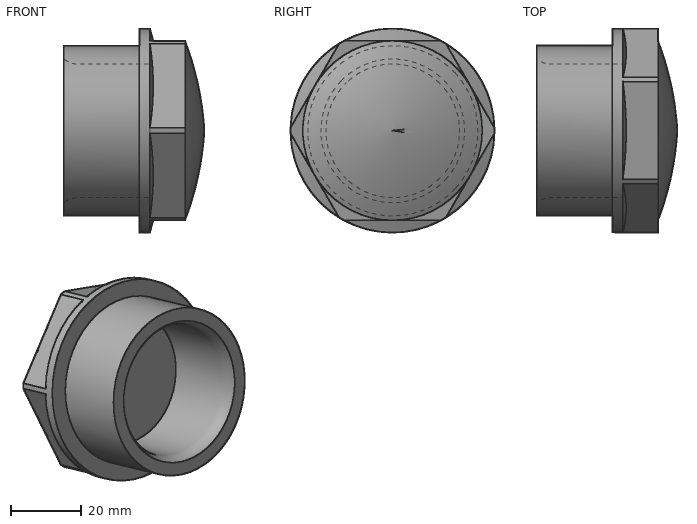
import cadquery as cq
import math

tube_length = 21.5
flange_thickness = 3.0
hex_length = 10.0
dome_height = 5.5

tube_diameter = 48.4
flange_diameter = 58
hex_across_flats = 51.0
bore_diameter = 38.0
mouth_diameter = 40.85

lead_in_radius = 5.8
dome_profile_radius = 84.1
shoulder_angle = 15

flange_start = tube_length
hex_start = flange_start + flange_thickness
hex_end = hex_start + hex_length
dome_tip = hex_end + dome_height
bore_depth = hex_start


def cylinder(diameter, start, length):
    """Solid cylinder around the X axis."""
    return cq.Workplane("YZ", origin=(start, 0, 0)).circle(diameter / 2).extrude(length)


def hexagon_head():
    """Hexagon with flats facing +Z and -Z, its corners turned down to the flange diameter."""
    across_corners = hex_across_flats / math.cos(math.pi / 6)
    hexagon = cq.Workplane("YZ", origin=(hex_start, 0, 0)).polygon(6, across_corners).extrude(hex_length)
    return hexagon.intersect(cylinder(flange_diameter, hex_start, hex_length))


def flange_shoulder():
    """Shallow cone from the flange rim up to the middle of the hexagon flats."""
    rim_radius = flange_diameter / 2
    flat_radius = hex_across_flats / 2
    rise = (rim_radius - flat_radius) * math.tan(math.radians(shoulder_angle))
    return (
        cq.Workplane("XY")
        .moveTo(hex_start, 0)
        .lineTo(hex_start, rim_radius)
        .lineTo(hex_start + rise, flat_radius)
        .lineTo(hex_start + rise, 0)
        .close()
        .revolve(360, (0, 0, 0), (1, 0, 0))
    )


def dome():
    """Low dome rising from the hexagon flats to a faint point on the axis, with an arc profile."""
    return (
        cq.Workplane("XY")
        .moveTo(hex_end, 0)
        .lineTo(hex_end, hex_across_flats / 2)
        .radiusArc((dome_tip, 0), dome_profile_radius)
        .close()
        .revolve(360, (0, 0, 0), (1, 0, 0))
    )


def bore():
    """Blind bore with a rounded lead-in, flaring from the bore wall to the open end."""
    flare = (mouth_diameter - bore_diameter) / 2
    lead_in_depth = math.sqrt(lead_in_radius**2 - (lead_in_radius - flare) ** 2)
    return (
        cq.Workplane("XY")
        .lineTo(0, mouth_diameter / 2)
        .radiusArc((lead_in_depth, bore_diameter / 2), -lead_in_radius)
        .lineTo(bore_depth, bore_diameter / 2)
        .lineTo(bore_depth, 0)
        .close()
        .revolve(360, (0, 0, 0), (1, 0, 0))
    )


result = (
    cylinder(tube_diameter, 0, tube_length)
    .union(cylinder(flange_diameter, flange_start, flange_thickness))
    .union(hexagon_head())
    .union(flange_shoulder())
    .union(dome())
    .cut(bore())
)